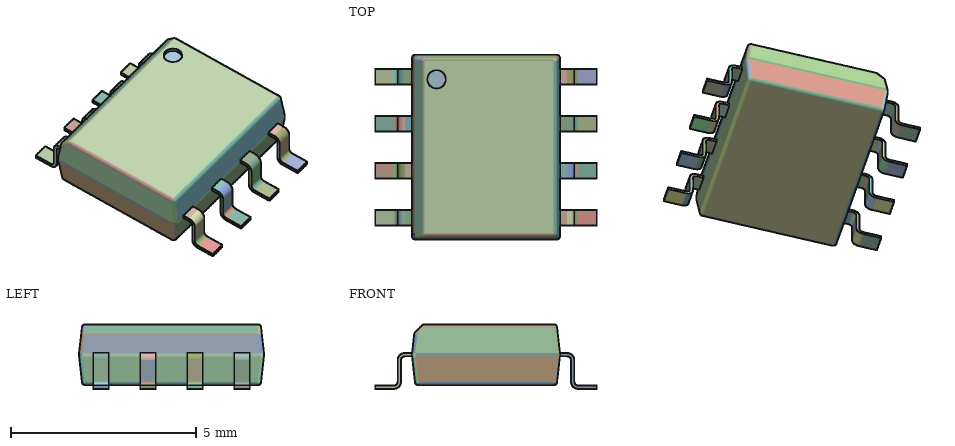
import cadquery as cq
import math

SPAN = 5.99
BODY_WIDTH = 4.0
BODY_LENGTH = 5.0
TOP_Z = 1.75
STANDOFF = 0.1

LEAD_THICKNESS = 0.095
LEAD_WIDTH = 0.425
LEAD_PITCH = 1.27
LEADS_PER_SIDE = 4
INNER_BEND = 0.1
OUTER_BEND = INNER_BEND + LEAD_THICKNESS
SHANK_OUTER_X = 2.39

BAND_TOP_Z = 0.975
BAND_BOTTOM_Z = BAND_TOP_Z - LEAD_THICKNESS
DRAFT_ANGLE = 6.4
EDGE_RADIUS = 0.095
BEVEL_DROP = 0.24
MARK_DIAMETER = 0.5
MARK_DEPTH = 0.1
MARK_X = -1.335
MARK_Y = 1.83


def drafted_half(start_z, height):
    """Block that tapers away from the parting band; a negative height goes down."""
    return (
        cq.Workplane("XY")
        .workplane(offset=start_z)
        .rect(BODY_WIDTH, BODY_LENGTH)
        .extrude(height, taper=DRAFT_ANGLE)
    )


def bevel_cutter():
    """Wedge above the 45 degree bevel plane on the -X side."""
    low_z = TOP_Z - BEVEL_DROP
    wall_x = -BODY_WIDTH / 2 + (low_z - BAND_TOP_Z) * math.tan(math.radians(DRAFT_ANGLE))
    reach = 2 * BEVEL_DROP
    return (
        cq.Workplane("XZ")
        .moveTo(wall_x - BEVEL_DROP, low_z - BEVEL_DROP)
        .lineTo(wall_x + reach, low_z + reach)
        .lineTo(wall_x - BEVEL_DROP, low_z + reach)
        .close()
        .extrude(BODY_LENGTH / 2, both=True)
    )


def make_housing():
    upper = drafted_half(BAND_TOP_Z, TOP_Z - BAND_TOP_Z).cut(bevel_cutter())
    upper = upper.edges("not <Z").fillet(EDGE_RADIUS)
    lower = drafted_half(BAND_BOTTOM_Z, STANDOFF - BAND_BOTTOM_Z)
    lower = lower.edges("not >Z").fillet(EDGE_RADIUS)

    band = upper.faces("<Z").wires().toPending().extrude(-LEAD_THICKNESS, combine=False)
    block = band.union(upper).union(lower)

    mark = (
        cq.Workplane("XY")
        .workplane(offset=TOP_Z - MARK_DEPTH)
        .center(MARK_X, MARK_Y)
        .circle(MARK_DIAMETER / 2)
        .extrude(MARK_DEPTH)
    )
    return block.cut(mark)


def make_lead(side, y):
    """Gull-wing lead from the housing wall to its foot; side is +1 or -1 along X."""
    shank_inner_x = SHANK_OUTER_X - LEAD_THICKNESS
    diagonal = math.sqrt(0.5)
    shoulder_x = SHANK_OUTER_X - OUTER_BEND
    shoulder_z = BAND_TOP_Z - OUTER_BEND
    ankle_x = shank_inner_x + OUTER_BEND
    ankle_z = OUTER_BEND
    outer_offset = OUTER_BEND * diagonal
    inner_offset = INNER_BEND * diagonal
    wall_x = BODY_WIDTH / 2
    tip_x = SPAN / 2

    profile = (
        cq.Workplane("XZ")
        .moveTo(wall_x, BAND_TOP_Z)
        .lineTo(shoulder_x, BAND_TOP_Z)
        .threePointArc((shoulder_x + outer_offset, shoulder_z + outer_offset), (SHANK_OUTER_X, shoulder_z))
        .lineTo(SHANK_OUTER_X, ankle_z)
        .threePointArc((ankle_x - inner_offset, ankle_z - inner_offset), (ankle_x, LEAD_THICKNESS))
        .lineTo(tip_x, LEAD_THICKNESS)
        .lineTo(tip_x, 0)
        .lineTo(ankle_x, 0)
        .threePointArc((ankle_x - outer_offset, ankle_z - outer_offset), (shank_inner_x, ankle_z))
        .lineTo(shank_inner_x, shoulder_z)
        .threePointArc((shoulder_x + inner_offset, shoulder_z + inner_offset), (shoulder_x, BAND_BOTTOM_Z))
        .lineTo(wall_x, BAND_BOTTOM_Z)
        .close()
    )
    lead = profile.extrude(LEAD_WIDTH / 2, both=True)
    if side < 0:
        lead = lead.mirror("YZ")
    return lead.translate((0, y, 0))


housing = make_housing()

leads = []
for side in (-1, 1):
    for index in range(LEADS_PER_SIDE):
        y = (index - (LEADS_PER_SIDE - 1) / 2) * LEAD_PITCH
        leads.append(make_lead(side, y).val())

result = cq.Compound.makeCompound([housing.val(), *leads])